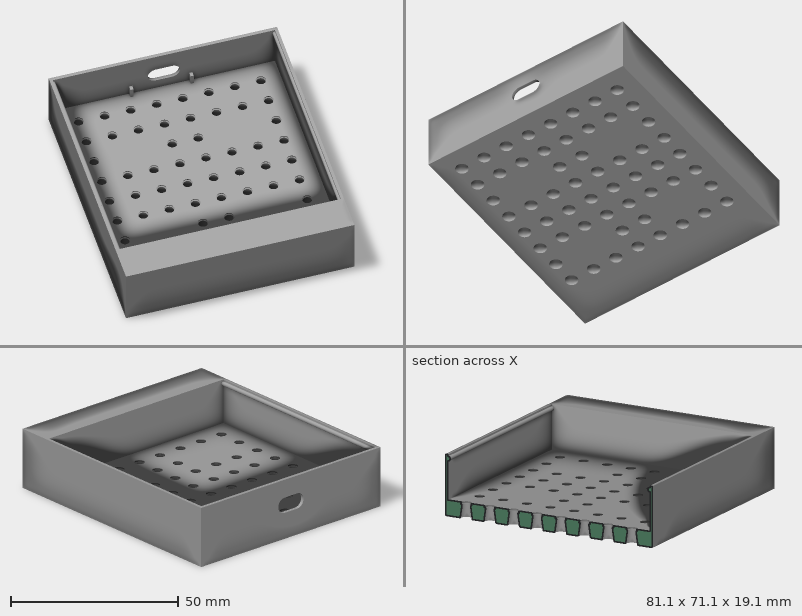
import cadquery as cq
length = 81.1
width = 71.1
height = 19.1

end_wall = 1.05
side_wall = 1.0
solid_end = 10.95
floor_thickness = 5.0
tray_length = length - end_wall - solid_end
tray_width = width - 2 * side_wall
tray_center_x = end_wall + tray_length / 2
center_y = width / 2

mouth_diameter = 3.1
undercut_diameter = 3.7
mouth_depth = 0.65
neck_diameter = 2.75
bottom_diameter = 4.05

hole_pitch = 8.1
holes_per_side = 8
skipped_columns = (2, 6)
shortened_rows = (1, 2, 5, 6)

slot_length = 10.0
slot_height = 4.95
slot_center_z = 10.9

snap_radius = 0.7
snap_depth = 1.3

locator_depth = 1.5
locator_width = 1.0
locator_spacing = 18.7
locator_center_y = center_y - 1.0
locator_height = slot_center_z - slot_height / 2 - floor_thickness


def make_tray():
    block = cq.Workplane("XY").box(length, width, height, centered=False)
    pocket = (
        cq.Workplane("XY", origin=(end_wall, side_wall, floor_thickness))
        .box(tray_length, tray_width, height - floor_thickness, centered=False)
    )
    return block.cut(pocket)


def make_hole_cutter():
    """Solid of one floor hole, turned about the Z axis."""
    ledge_z = floor_thickness - mouth_depth
    return (
        cq.Workplane("XZ")
        .moveTo(0, 0)
        .lineTo(bottom_diameter / 2, 0)
        .lineTo(neck_diameter / 2, ledge_z)
        .lineTo(undercut_diameter / 2, ledge_z)
        .lineTo(mouth_diameter / 2, floor_thickness)
        .lineTo(0, floor_thickness)
        .close()
        .revolve(360, (0, 0, 0), (0, 1, 0))
        .val()
    )


def make_floor_holes():
    middle = (holes_per_side - 1) / 2
    centers = [
        ((column - middle) * hole_pitch, (row - middle) * hole_pitch)
        for row in range(holes_per_side)
        for column in range(holes_per_side)
        if not (row in shortened_rows and column in skipped_columns)
    ]
    cutter = make_hole_cutter()
    return (
        cq.Workplane("XY", origin=(tray_center_x, center_y, 0))
        .pushPoints(centers)
        .eachpoint(lambda place: cutter.moved(place))
    )


def make_slot():
    return (
        cq.Workplane("YZ", origin=(0, center_y, slot_center_z))
        .slot2D(slot_length, slot_height)
        .extrude(end_wall)
    )


def make_snap_rib(wall_y):
    """Round bar with its axis on the wall face, so that half of it stands out."""
    return (
        cq.Workplane("YZ", origin=(end_wall, wall_y, height - snap_depth))
        .circle(snap_radius)
        .extrude(tray_length)
    )


def make_locator(rib_y):
    return (
        cq.Workplane("XY", origin=(end_wall, rib_y, floor_thickness))
        .box(locator_depth, locator_width, locator_height, centered=(False, True, False))
    )


result = make_tray().cut(make_floor_holes()).cut(make_slot())

for wall_y in (side_wall, width - side_wall):
    result = result.union(make_snap_rib(wall_y))

for side in (-1, 1):
    result = result.union(make_locator(locator_center_y + side * locator_spacing / 2))